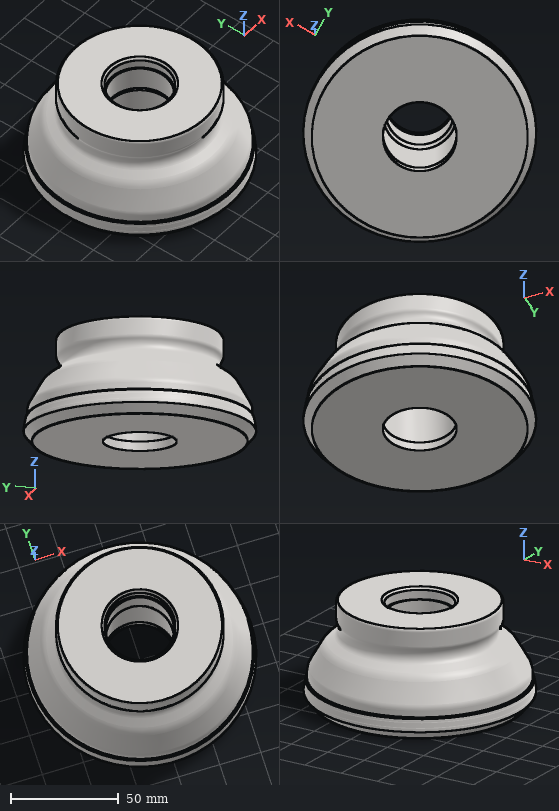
import cadquery as cq
import math

total_height = 50.0

flange_radius = 39.0
flange_edge_fillet = 2.0
flange_edge_height = 1.6
flange_under_fillet = 3.0
waist_fillet = 5.0
waist_center_height = 36.5
shoulder_angle = 55.0
shoulder_fillet = 10.0
skirt_angle = 30.0
skirt_fillet = 5.0
base_radius = 52.4
base_corner_height = 16.0
shoulder_corner_height = 28.5

entry_radius = 16.5
entry_chamfer = 1.3
entry_depth = 6.0
bore_radius = 15.8
bore_end_height = 31.4
bore_cone_angle = 25.0
lower_bore_radius = 17.1

seat_height = 4.5
bottom_radius = 50.1
bottom_lip_height = 0.3
rim_radius = 54.1
rim_height = 5.3
bevel_top = (54.0, 4.7)
lower_step = [(54.0, 6.3), (53.9, 6.6)]
upper_step = [(53.6, 8.9), (53.5, 9.2)]
taper_break = (53.4, 9.9)
top_step = [(53.2, 10.8), (53.0, 11.2)]
ring_height = 11.5


def on_arc(center, radius, elevation):
    """Point of an arc in the (r, z) plane; elevation is in degrees above the outward direction."""
    angle = math.radians(elevation)
    return (center[0] + radius * math.cos(angle), center[1] + radius * math.sin(angle))


def corner_arc_center(corner, radius, lower_angle, upper_angle):
    """Center of a convex fillet between two cones sloping at the given angles from vertical."""
    half_turn = math.radians((upper_angle - lower_angle) / 2)
    middle = (lower_angle + upper_angle) / 2
    return on_arc(corner, -radius / math.cos(half_turn), middle)


def add_arc(profile, center, radius, start, end):
    """Draw a line to the start of an arc, then the arc itself."""
    profile = profile.lineTo(*on_arc(center, radius, start))
    return profile.threePointArc(on_arc(center, radius, (start + end) / 2), on_arc(center, radius, end))


def revolve_profile(profile):
    """Close an (r, z) outline and revolve it about the Z axis."""
    return profile.close().revolve(360, (0, 0, 0), (0, 1, 0))


def make_hub():
    base_corner = (base_radius, base_corner_height)
    skirt_rise = shoulder_corner_height - base_corner_height
    shoulder_corner = (
        base_radius - skirt_rise * math.tan(math.radians(skirt_angle)),
        shoulder_corner_height,
    )
    skirt_center = corner_arc_center(base_corner, skirt_fillet, 0, skirt_angle)
    shoulder_center = corner_arc_center(shoulder_corner, shoulder_fillet, skirt_angle, shoulder_angle)

    slope = math.radians(shoulder_angle)
    waist_rise = waist_center_height - shoulder_corner_height
    waist_center = (
        shoulder_corner[0] - waist_rise * math.tan(slope) + waist_fillet / math.cos(slope),
        waist_center_height,
    )

    under_center_radius = flange_radius - flange_under_fillet
    under_offset = waist_center[0] - under_center_radius
    under_angle = math.degrees(math.acos(under_offset / (waist_fillet + flange_under_fillet)))
    under_center = on_arc(waist_center, waist_fillet + flange_under_fillet, 180 - under_angle)

    edge_center = (flange_radius - flange_edge_fillet, total_height - flange_edge_height)
    edge_end = math.degrees(math.asin(flange_edge_height / flange_edge_fillet))

    profile = cq.Workplane("XZ").moveTo(lower_bore_radius, seat_height).lineTo(base_radius, seat_height)
    profile = add_arc(profile, skirt_center, skirt_fillet, 0, skirt_angle)
    profile = add_arc(profile, shoulder_center, shoulder_fillet, skirt_angle, shoulder_angle)
    profile = add_arc(profile, waist_center, waist_fillet, 180 + shoulder_angle, 180 - under_angle)
    profile = profile.threePointArc(
        on_arc(under_center, flange_under_fillet, -under_angle / 2),
        on_arc(under_center, flange_under_fillet, 0),
    )
    profile = add_arc(profile, edge_center, flange_edge_fillet, 0, edge_end)

    entry_ledge_height = total_height - entry_depth
    cone_height = (lower_bore_radius - bore_radius) / math.tan(math.radians(bore_cone_angle))
    profile = (
        profile.lineTo(entry_radius + entry_chamfer, total_height)
        .lineTo(entry_radius, total_height - entry_chamfer)
        .lineTo(entry_radius, entry_ledge_height)
        .lineTo(bore_radius, entry_ledge_height)
        .lineTo(bore_radius, bore_end_height)
        .lineTo(lower_bore_radius, bore_end_height - cone_height)
    )
    return revolve_profile(profile)


def make_ring():
    outer_side = [
        (bottom_radius, 0),
        (bottom_radius, bottom_lip_height),
        bevel_top,
        (rim_radius, rim_height),
        *lower_step,
        *upper_step,
        taper_break,
        *top_step,
    ]
    recess = [
        (base_radius, ring_height),
        (base_radius, seat_height),
        (lower_bore_radius, seat_height),
    ]
    profile = cq.Workplane("XZ").polyline([(lower_bore_radius, 0)] + outer_side + recess)
    return revolve_profile(profile)


hub = make_hub()
ring = make_ring()
result = cq.Compound.makeCompound([hub.val(), ring.val()])